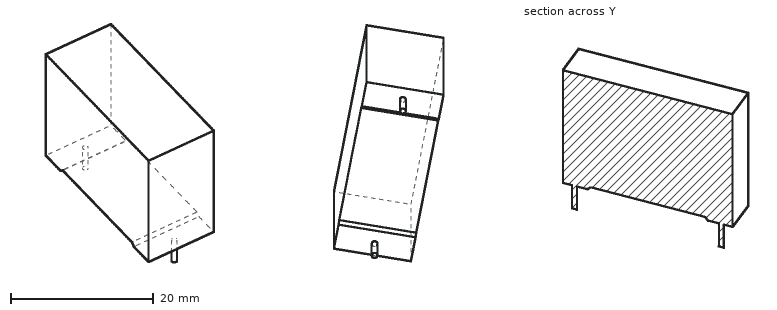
import cadquery as cq

body_length = 26.0
body_depth = 11.0
overall_height = 23.7

lead_diameter = 0.8
lead_length = 4.0
lead_pitch = 22.5

relief_height = 0.5
relief_floor_length = 17.5

body_height = overall_height - lead_length


def make_body():
    """Box with its underside at Z = 0, relieved between the two feet."""
    half_length = body_length / 2
    half_floor = relief_floor_length / 2
    half_mouth = half_floor + relief_height
    outline = [
        (-half_length, 0),
        (-half_mouth, 0),
        (-half_floor, relief_height),
        (half_floor, relief_height),
        (half_mouth, 0),
        (half_length, 0),
        (half_length, body_height),
        (-half_length, body_height),
    ]
    return cq.Workplane("XZ").polyline(outline).close().extrude(body_depth / 2, both=True)


def make_leads():
    """Two round leads hanging straight down from the feet."""
    lead_places = [(-lead_pitch / 2, 0), (lead_pitch / 2, 0)]
    return cq.Workplane("XY").pushPoints(lead_places).circle(lead_diameter / 2).extrude(-lead_length)


result = make_body().union(make_leads())